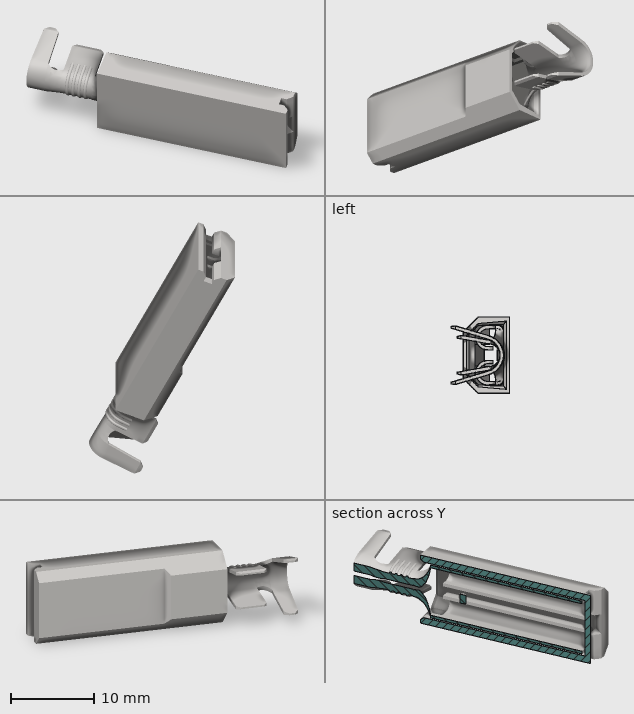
import cadquery as cq
import math

TOTAL_LENGTH = 32.85
STOCK = 0.43

HOUSING_START = 9.13
HOUSING_HALF_WIDTH = 4.6
SHOULDER_Y = 3.78
ROOF_Y = 4.85
RAISED_ROOF_Y = 5.6
RAISED_FLAT_END = 16.3
RAISED_SLOPE_RUN = 0.6

FLOOR_Y = 0.72
CAVITY_FLOOR_HALF_WIDTH = 3.7
CAVITY_SHOULDER_HALF_WIDTH = 3.58
CEILING_Y = 4.15
HIGH_CEILING_Y = 4.85
LEAD_IN = 0.33
LEAD_IN_DEPTH = 0.45
MOUTH_FLOOR_HALF_WIDTH = 4.1
MOUTH_SHOULDER_HALF_WIDTH = 3.8

NOTCH_DEPTH = 1.3
NOTCH_LOW_Y = 1.3
NOTCH_HIGH_Y = 2.4
NOTCH_BEVEL = 0.62
WINDOW_HALF_WIDTH = 1.3
CAVITY_END = TOTAL_LENGTH - NOTCH_DEPTH

BARREL_EDGE_Y = 2.25
SCOOP_LOW_Y = 1.85

INSULATION_RADIUS = 2.43
INSULATION_WING_ANGLE = 16.5
INSULATION_TIP_Y = 7.05
INSULATION_TIP_BEVEL = 0.55
INSULATION_END = 2.3
INSULATION_SLANT = 0.45

WIRE_RADIUS = 1.77
WIRE_WING_ANGLE = 10.0
WIRE_TIP_Y = 6.3
WIRE_TIP_BEVEL = 0.45
WIRE_START = 4.25
WIRE_END = 8.15

RIB_COUNT = 4
RIB_PITCH = 0.75
RIB_WIDTH = 0.43
RIB_HEIGHT = 0.13
RIB_TOP_Y = 3.38
RIB_ROUNDING = 0.2

FLARE_MOUTH_HALF_WIDTH = 2.15
FLARE_MOUTH_EDGE_Y = 1.9
FLARE_END = 10.5
FLARE_END_EDGE_Y = 1.7
FLARE_HALF_FLAT = 0.1
FLARE_END_HALF_FLAT = 2.83

RECEPTACLE_END = 31.2
RECEPTACLE_HALF_WIDTH = 3.58
ROLL_START = 11.83
ROLL_RADIUS = 1.48
ROLL_CENTER_Y = 2.63
ROLL_LIP_Y = 1.97
BASE_CORNER_RADIUS = 0.45

DETENT_START = 14.45
DETENT_LENGTH = 1.0
DETENT_HEIGHT = 0.35
DETENT_HALF_WIDTH = 0.62


def across(x):
    """Workplane across the length at x: local x is Y, local y is Z."""
    return cq.Workplane("YZ", origin=(x, 0, 0))


def plan_prism(points, half_width):
    """Outline in X and Y, extruded equally to both sides of Z = 0."""
    return cq.Workplane("XY").polyline(points).close().extrude(half_width, both=True)


def roofed_points(floor_y, floor_half, shoulder_y, shoulder_half, top_y):
    """Box outline whose upper corners are cut at 45 degrees."""
    top_half = shoulder_half - (top_y - shoulder_y)
    right_side = [(floor_y, floor_half), (shoulder_y, shoulder_half), (top_y, top_half)]
    left_side = [(y, -z) for y, z in reversed(right_side)]
    return right_side + left_side


def cavity_points(ceiling_y):
    return roofed_points(
        FLOOR_Y, CAVITY_FLOOR_HALF_WIDTH, SHOULDER_Y, CAVITY_SHOULDER_HALF_WIDTH, ceiling_y
    )


def make_shell():
    section = roofed_points(0, HOUSING_HALF_WIDTH, SHOULDER_Y, HOUSING_HALF_WIDTH, RAISED_ROOF_Y)
    length = TOTAL_LENGTH - HOUSING_START
    shell = across(HOUSING_START).polyline(section).close().extrude(length)
    slope_end = RAISED_FLAT_END + RAISED_SLOPE_RUN
    above_roof = plan_prism(
        [
            (RAISED_FLAT_END, RAISED_ROOF_Y),
            (slope_end, ROOF_Y),
            (TOTAL_LENGTH, ROOF_Y),
            (TOTAL_LENGTH, RAISED_ROOF_Y),
        ],
        HOUSING_HALF_WIDTH,
    )
    return shell.cut(above_roof)


def make_cavity():
    low = across(HOUSING_START).polyline(cavity_points(CEILING_Y)).close()
    low = low.extrude(CAVITY_END - HOUSING_START)
    high = across(HOUSING_START).polyline(cavity_points(HIGH_CEILING_Y)).close()
    high = high.extrude(RAISED_FLAT_END - HOUSING_START)
    mouth = roofed_points(
        FLOOR_Y - LEAD_IN,
        MOUTH_FLOOR_HALF_WIDTH,
        SHOULDER_Y,
        MOUTH_SHOULDER_HALF_WIDTH,
        HIGH_CEILING_Y + LEAD_IN,
    )
    lead_in = across(HOUSING_START).polyline(mouth).close()
    lead_in = lead_in.workplane(offset=LEAD_IN_DEPTH).polyline(cavity_points(HIGH_CEILING_Y)).close()
    return low.union(high).union(lead_in.loft(ruled=True))


def make_end_notch():
    bevel_start = TOTAL_LENGTH - NOTCH_BEVEL
    return plan_prism(
        [
            (CAVITY_END, NOTCH_LOW_Y),
            (bevel_start, NOTCH_LOW_Y),
            (TOTAL_LENGTH, NOTCH_LOW_Y - NOTCH_BEVEL),
            (TOTAL_LENGTH, NOTCH_HIGH_Y + NOTCH_BEVEL),
            (bevel_start, NOTCH_HIGH_Y),
            (CAVITY_END, NOTCH_HIGH_Y),
        ],
        HOUSING_HALF_WIDTH,
    )


def make_tab_window():
    """Opening through the end wall, with a ceiling that slopes down to the notch mouth."""
    return plan_prism(
        [
            (CAVITY_END, NOTCH_LOW_Y),
            (TOTAL_LENGTH, NOTCH_LOW_Y),
            (TOTAL_LENGTH, NOTCH_HIGH_Y + NOTCH_BEVEL),
            (CAVITY_END, CEILING_Y),
        ],
        WINDOW_HALF_WIDTH,
    )


def make_housing():
    return make_shell().cut(make_cavity()).cut(make_end_notch()).cut(make_tab_window())


def crimp_section(x, length, radius, bottom_y, thickness, angle, tip_y, tip_bevel):
    """U of strip: round bottom, straight wings leaning outward, tips bevelled on the outside."""
    lean = math.radians(angle)
    center_y = bottom_y + radius
    inner_radius = radius - thickness

    def bend(r):
        return center_y - r * math.sin(lean), r * math.cos(lean)

    def on_wing(r, y):
        bend_y, bend_z = bend(r)
        return y, bend_z + (y - bend_y) * math.tan(lean)

    def mirrored(point):
        return point[0], -point[1]

    shoulder = on_wing(radius, tip_y - tip_bevel)
    tip_outer = on_wing(radius - thickness / 2, tip_y)
    tip_inner = on_wing(inner_radius, tip_y)
    return (
        across(x)
        .moveTo(*mirrored(shoulder))
        .lineTo(*mirrored(bend(radius)))
        .threePointArc((bottom_y, 0), bend(radius))
        .lineTo(*shoulder)
        .lineTo(*tip_outer)
        .lineTo(*tip_inner)
        .lineTo(*bend(inner_radius))
        .threePointArc((bottom_y + thickness, 0), mirrored(bend(inner_radius)))
        .lineTo(*mirrored(tip_inner))
        .lineTo(*mirrored(tip_outer))
        .close()
        .extrude(length)
    )


def wing_outline(start, end, slant, tip_y, bevel):
    """Side outline of a crimp: slanted leading edge and bevelled tip corners."""
    bevel_y = tip_y - bevel
    points = [
        (start, FLOOR_Y),
        (start + slant, bevel_y),
        (start + slant + bevel, tip_y),
        (end - bevel, tip_y),
        (end, bevel_y),
        (end, FLOOR_Y),
    ]
    return plan_prism(points, HOUSING_HALF_WIDTH)


def make_insulation_crimp():
    crimp = crimp_section(
        0, INSULATION_END, INSULATION_RADIUS, FLOOR_Y, STOCK,
        INSULATION_WING_ANGLE, INSULATION_TIP_Y, INSULATION_TIP_BEVEL,
    )
    return crimp.intersect(
        wing_outline(0, INSULATION_END, INSULATION_SLANT, INSULATION_TIP_Y, INSULATION_TIP_BEVEL)
    )


def make_wire_crimp():
    crimp = crimp_section(
        WIRE_START, WIRE_END - WIRE_START, WIRE_RADIUS, FLOOR_Y, STOCK,
        WIRE_WING_ANGLE, WIRE_TIP_Y, WIRE_TIP_BEVEL,
    )
    crimp = crimp.intersect(wing_outline(WIRE_START, WIRE_END, 0, WIRE_TIP_Y, WIRE_TIP_BEVEL))
    ribs_length = (RIB_COUNT - 1) * RIB_PITCH + RIB_WIDTH
    first_rib = (WIRE_START + WIRE_END - ribs_length) / 2
    for index in range(RIB_COUNT):
        rib = crimp_section(
            first_rib + index * RIB_PITCH, RIB_WIDTH, WIRE_RADIUS + RIB_HEIGHT,
            FLOOR_Y - RIB_HEIGHT, STOCK, WIRE_WING_ANGLE, RIB_TOP_Y, 0,
        )
        crimp = crimp.union(rib.faces("<X or >X").edges().fillet(RIB_ROUNDING))
    return crimp


def corner_middle(flat_y, half_flat, edge_y, edge_z):
    """Middle of the arc that leaves the flat bottom tangentially and ends at the edge point."""
    rise = edge_y - flat_y
    run = edge_z - half_flat
    radius = (rise**2 + run**2) / (2 * rise)
    half_sweep = math.atan2(rise, run)
    return (
        flat_y + radius * (1 - math.cos(half_sweep)),
        half_flat + radius * math.sin(half_sweep),
    )


def trough_wire(x, half_width, edge_y, half_flat):
    """Closed section of a trough: flat bottom, arc-shaped corners and level top edges."""
    inner_y = FLOOR_Y + STOCK
    inner_half = half_width - STOCK
    outer_mid_y, outer_mid_z = corner_middle(FLOOR_Y, half_flat, edge_y, half_width)
    inner_mid_y, inner_mid_z = corner_middle(inner_y, half_flat, edge_y, inner_half)
    return (
        across(x)
        .moveTo(edge_y, -half_width)
        .threePointArc((outer_mid_y, -outer_mid_z), (FLOOR_Y, -half_flat))
        .lineTo(FLOOR_Y, half_flat)
        .threePointArc((outer_mid_y, outer_mid_z), (edge_y, half_width))
        .lineTo(edge_y, inner_half)
        .threePointArc((inner_mid_y, inner_mid_z), (inner_y, half_flat))
        .lineTo(inner_y, -half_flat)
        .threePointArc((inner_mid_y, -inner_mid_z), (edge_y, -inner_half))
        .close()
        .val()
    )


def barrel_half_width(outer_radius, radius):
    """Half width, at the height of the trough edges, of a circle concentric with a round barrel."""
    drop = FLOOR_Y + outer_radius - BARREL_EDGE_Y
    return math.sqrt(radius**2 - drop**2)


def barrel_wire(x, radius):
    """Section of a round trough with the given outer radius."""
    half_width = barrel_half_width(radius, radius)
    inner_half = barrel_half_width(radius, radius - STOCK)
    return (
        across(x)
        .moveTo(BARREL_EDGE_Y, -half_width)
        .threePointArc((FLOOR_Y, 0), (BARREL_EDGE_Y, half_width))
        .lineTo(BARREL_EDGE_Y, inner_half)
        .threePointArc((FLOOR_Y + STOCK, 0), (BARREL_EDGE_Y, -inner_half))
        .close()
        .val()
    )


def make_neck():
    """Trough that narrows from the insulation crimp to the wire crimp, with scooped edges."""
    wide = barrel_wire(INSULATION_END, INSULATION_RADIUS)
    narrow = barrel_wire(WIRE_START, WIRE_RADIUS)
    neck = cq.Workplane(cq.Solid.makeLoft([wide, narrow]))
    middle_x = (INSULATION_END + WIRE_START) / 2
    scoop = (
        cq.Workplane("XY")
        .moveTo(INSULATION_END, BARREL_EDGE_Y)
        .threePointArc((middle_x, SCOOP_LOW_Y), (WIRE_START, BARREL_EDGE_Y))
        .close()
        .extrude(HOUSING_HALF_WIDTH, both=True)
    )
    return neck.cut(scoop)


def make_flare():
    """Trough that opens from the wire crimp to the width of the receptacle."""
    wire_half_width = barrel_half_width(WIRE_RADIUS, WIRE_RADIUS)
    sections = [
        trough_wire(WIRE_END, wire_half_width, BARREL_EDGE_Y, FLARE_HALF_FLAT),
        trough_wire(HOUSING_START, FLARE_MOUTH_HALF_WIDTH, FLARE_MOUTH_EDGE_Y, FLARE_HALF_FLAT),
        trough_wire(FLARE_END, RECEPTACLE_HALF_WIDTH, FLARE_END_EDGE_Y, FLARE_END_HALF_FLAT),
    ]
    return cq.Workplane(cq.Solid.makeLoft(sections))


def make_rolled_side():
    """Side wall that rolls over the top and comes back down to a free edge."""
    wall_z = RECEPTACLE_HALF_WIDTH
    center_z = wall_z - ROLL_RADIUS
    inner_radius = ROLL_RADIUS - STOCK
    lip_z = center_z - ROLL_RADIUS
    return (
        across(ROLL_START)
        .moveTo(FLOOR_Y, wall_z)
        .lineTo(ROLL_CENTER_Y, wall_z)
        .threePointArc((ROLL_CENTER_Y + ROLL_RADIUS, center_z), (ROLL_CENTER_Y, lip_z))
        .lineTo(ROLL_LIP_Y, lip_z)
        .lineTo(ROLL_LIP_Y, lip_z + STOCK)
        .lineTo(ROLL_CENTER_Y, lip_z + STOCK)
        .threePointArc((ROLL_CENTER_Y + inner_radius, center_z), (ROLL_CENTER_Y, wall_z - STOCK))
        .lineTo(FLOOR_Y, wall_z - STOCK)
        .close()
        .extrude(RECEPTACLE_END - ROLL_START)
    )


def make_channel():
    """Flat base with low side walls, along the whole receptacle."""
    length = RECEPTACLE_END - FLARE_END
    inner_half = RECEPTACLE_HALF_WIDTH - STOCK
    height = FLARE_END_EDGE_Y - FLOOR_Y
    outer = cq.Workplane("XY").box(
        length, height, 2 * RECEPTACLE_HALF_WIDTH, centered=(False, False, True)
    )
    inner = cq.Workplane("XY").box(length, height, 2 * inner_half, centered=(False, False, True))
    return outer.cut(inner.translate((0, STOCK, 0))).translate((FLARE_END, FLOOR_Y, 0))


def make_receptacle():
    side = make_rolled_side()
    receptacle = make_channel().union(side).union(side.mirror("XY"))
    return receptacle.edges("|X and <Y").fillet(BASE_CORNER_RADIUS)


def make_detent():
    """Ramped bump on the receptacle base that catches the mating tab."""
    base_y = FLOOR_Y + STOCK
    ramp = [
        (DETENT_START, base_y),
        (DETENT_START + DETENT_LENGTH / 2, base_y + DETENT_HEIGHT),
        (DETENT_START + DETENT_LENGTH, base_y),
    ]
    return plan_prism(ramp, DETENT_HALF_WIDTH)


def make_terminal():
    terminal = make_insulation_crimp()
    for piece in (make_neck(), make_wire_crimp(), make_flare(), make_receptacle(), make_detent()):
        terminal = terminal.union(piece)
    return terminal


housing = make_housing()
terminal = make_terminal()
result = cq.Compound.makeCompound([housing.solids().val(), terminal.solids().val()])